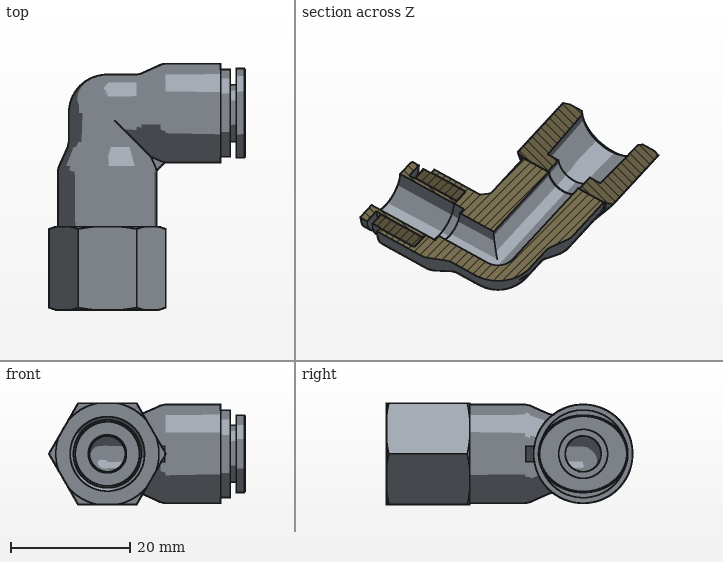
import cadquery as cq
import math


neck_radius = 6.5
barrel_diameter = 16.6
barrel_radius = barrel_diameter / 2
leg_length = 19.0
cone_start = 5.3
cone_end = 9.3
cone_blend_radius = 2.1
cone_margin = 1.0
flow_bore_diameter = 6.0
flow_bore_radius = flow_bore_diameter / 2

gusset_thickness = 2.6
gusset_root = 7.0
gusset_far = 9.6

nut_across_flats = 17.0
nut_length = 14.0
nut_across_corners = nut_across_flats / math.cos(math.pi / 6)
nut_face_diameter = 17.3
nut_corner_drop = 0.42
nut_start = leg_length
nut_end = nut_start + nut_length
nut_passage_diameter = 6.4
thread_rim_diameter = 12.5
thread_mouth_diameter = 11.4
thread_chamfer_depth = (thread_rim_diameter - thread_mouth_diameter) / 2
thread_depth = 11.0
thread_taper = 1 / 16
thread_floor_diameter = thread_mouth_diameter - (thread_depth - thread_chamfer_depth) * thread_taper

collar_diameter = 14.7
collar_start = 12.0
collar_end = 20.6

sleeve_diameter = 9.6
tube_diameter = 8.2
flange_start = 21.6
flange_end = 23.1
flange_width = 15.0
flange_height = 13.0
flange_chamfer = 0.2

tube_stop = 10.0


def cylinder_x(diameter, start, end):
    """Cylinder on the X axis from start to end."""
    return cq.Workplane("YZ", origin=(start, 0, 0)).circle(diameter / 2).extrude(end - start)


def swing_to_tube_leg(body):
    """Swing a body from the -Y axis onto the +X axis."""
    return body.rotate((0, 0, 0), (0, 0, 1), 90)


def make_leg():
    """Leg along -Y: neck, blended cone and barrel."""
    leg = (
        cq.Workplane("XY")
        .moveTo(0, 0)
        .lineTo(neck_radius, 0)
        .lineTo(neck_radius, -cone_start)
        .lineTo(barrel_radius, -cone_end)
        .lineTo(barrel_radius, -leg_length)
        .lineTo(0, -leg_length)
        .close()
        .revolve(360, (0, 0, 0), (0, 1, 0))
    )
    cone_band = cq.selectors.BoxSelector(
        (-barrel_diameter, -cone_end - cone_margin, -barrel_diameter),
        (barrel_diameter, -cone_start + cone_margin, barrel_diameter),
        boundingbox=True,
    )
    cone_rims = leg.edges("%CIRCLE").edges(cone_band)
    return cone_rims.fillet(cone_blend_radius)


def make_gusset():
    """Thin triangular web between the two barrels."""
    return (
        cq.Workplane("XY", origin=(0, 0, -gusset_thickness / 2))
        .moveTo(gusset_root, -gusset_root)
        .lineTo(gusset_far, -gusset_root)
        .lineTo(gusset_far, -barrel_radius)
        .lineTo(barrel_radius, -gusset_far)
        .lineTo(gusset_root, -gusset_far)
        .close()
        .extrude(gusset_thickness)
    )


def make_housing():
    """Elbow with a round heel, flow bores, tube socket and collar seat."""
    nut_leg = make_leg()
    tube_leg = swing_to_tube_leg(nut_leg)
    heel = cq.Workplane("XY").sphere(neck_radius)
    solid = nut_leg.union(tube_leg).union(heel).union(make_gusset())

    tube_bore = cylinder_x(flow_bore_diameter, 0, leg_length)
    nut_bore = cq.Workplane("XZ").circle(flow_bore_radius).extrude(leg_length)
    bend = cq.Workplane("XY").sphere(flow_bore_radius)
    flow_path = tube_bore.union(nut_bore).union(bend)

    socket = cylinder_x(tube_diameter, tube_stop, leg_length)
    collar_seat = cylinder_x(collar_diameter, collar_start, leg_length)
    return solid.cut(flow_path).cut(socket).cut(collar_seat)


def make_nut():
    """Hexagon with corners chamfered at both ends and a stepped bore, tapered at the thread."""
    hexagon = (
        cq.Workplane("XZ", origin=(0, -nut_start, 0))
        .polygon(6, nut_across_corners)
        .extrude(nut_length)
    )
    face_radius = nut_face_diameter / 2
    corner_radius = nut_across_corners / 2
    chamfer_envelope = (
        cq.Workplane("XY")
        .moveTo(0, -nut_start)
        .lineTo(face_radius, -nut_start)
        .lineTo(corner_radius, -nut_start - nut_corner_drop)
        .lineTo(corner_radius, -nut_end + nut_corner_drop)
        .lineTo(face_radius, -nut_end)
        .lineTo(0, -nut_end)
        .close()
        .revolve(360, (0, 0, 0), (0, 1, 0))
    )
    thread_floor = -nut_end + thread_depth
    bore = (
        cq.Workplane("XY")
        .moveTo(0, -nut_end)
        .lineTo(thread_rim_diameter / 2, -nut_end)
        .lineTo(thread_mouth_diameter / 2, -nut_end + thread_chamfer_depth)
        .lineTo(thread_floor_diameter / 2, thread_floor)
        .lineTo(nut_passage_diameter / 2, thread_floor)
        .lineTo(nut_passage_diameter / 2, -nut_start)
        .lineTo(0, -nut_start)
        .close()
        .revolve(360, (0, 0, 0), (0, 1, 0))
    )
    return hexagon.intersect(chamfer_envelope).cut(bore)


def make_collar():
    """Plain ring between the housing and the release sleeve."""
    ring = cylinder_x(collar_diameter, collar_start, collar_end)
    return ring.cut(cylinder_x(sleeve_diameter, collar_start, collar_end))


def make_release_ring():
    """Sleeve with an oval flange, bored for the tube."""
    sleeve = cylinder_x(sleeve_diameter, collar_start, flange_end)
    flange = (
        cq.Workplane("YZ", origin=(flange_start, 0, 0))
        .ellipse(flange_width / 2, flange_height / 2)
        .extrude(flange_end - flange_start)
        .faces(">X")
        .chamfer(flange_chamfer)
    )
    tube_bore = cylinder_x(tube_diameter, collar_start, flange_end)
    return sleeve.union(flange).cut(tube_bore)


housing = make_housing()
nut = make_nut()
collar = make_collar()
release_ring = make_release_ring()

result = cq.Compound.makeCompound([housing.val(), nut.val(), collar.val(), release_ring.val()])